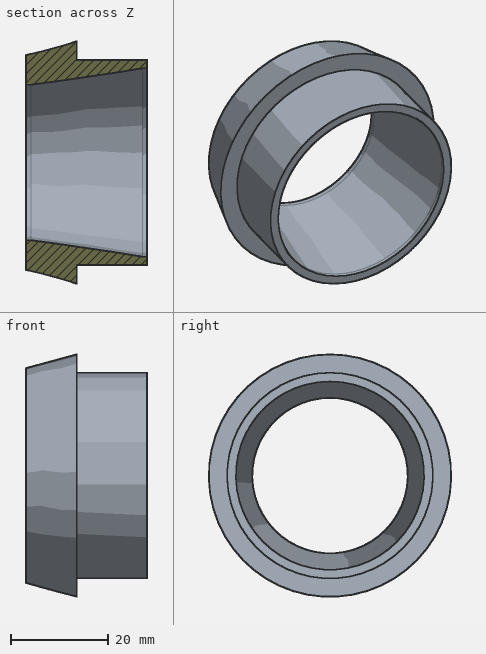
import cadquery as cq

length = 25.0
collar_length = 10.5
collar_front_radius = 22.15
collar_back_radius = 25.0
sleeve_radius = 21.2

bore_front_radius = 16.0
bore_back_radius = 19.4
land_length = 1.0

half_section = (
    cq.Workplane("XZ")
    .moveTo(0, bore_front_radius)
    .lineTo(0, collar_front_radius)
    .lineTo(collar_length, collar_back_radius)
    .lineTo(collar_length, sleeve_radius)
    .lineTo(length, sleeve_radius)
    .lineTo(length, bore_back_radius)
    .lineTo(length - land_length, bore_back_radius)
    .lineTo(land_length, bore_front_radius)
    .close()
)

result = half_section.revolve(360, (0, 0, 0), (1, 0, 0))